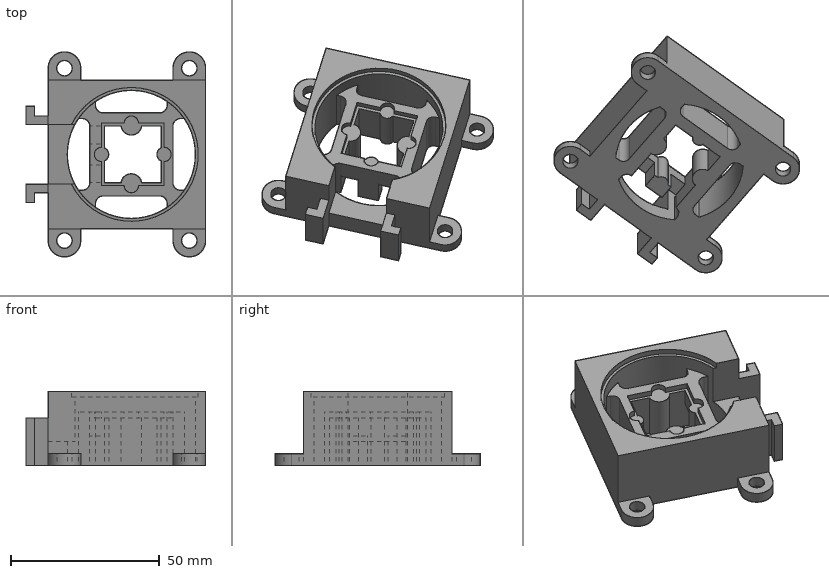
import cadquery as cq

overall_length = 69.0
overall_width = 60.5
overall_height = 25.0

body_width = 50.0
body_right = body_width / 2
body_left = 28.0

lug_width = 11.05
lug_radius = lug_width / 2
lug_height = 4.0
lug_hole_diameter = 5.1
lug_hole_y = overall_length / 2 - lug_radius

rim_diameter = 45.0
rim_depth = 2.0
bore_diameter = 43.0
floor_z = 18.0

slot_inner_offset = 14.0
slot_length = 24.0
slot_corner_radius = 2.5

opening_side = 19.0
recess_side = 21.0
recess_depth = 2.0
opening_x = 0.5
recess_z = floor_z - recess_depth

pocket_radius = 2.4
small_pillar_radius = pocket_radius
large_pillar_radius = 3.5
large_pillar_y = 10.0

window_height = 10.0
window_post_width = 7.05

notch_width = 20.0
notch_floor_z = 8.0
hook_height = 16.0
hook_reach = overall_width - body_left - body_right
hook_thickness = 3.0
hook_tip_length = 6.2


def box(x_min, x_max, y_min, y_max, z_min, z_max):
    """Box given by its limits along each axis."""
    size = (x_max - x_min, y_max - y_min, z_max - z_min)
    return cq.Workplane("XY").box(*size, centered=False).translate((x_min, y_min, z_min))


def cylinder(x, y, radius, z_min, z_max):
    """Upright cylinder between two heights."""
    return cq.Workplane("XY", origin=(x, y, z_min)).circle(radius).extrude(z_max - z_min)


def square_prism(center_x, side, z_min, z_max):
    """Square prism centred on the X axis."""
    base = cq.Workplane("XY", origin=(center_x, 0, z_min))
    return base.rect(side, side).extrude(z_max - z_min)


def make_bore_cavity():
    """Bore through the block, less the cross-shaped floor left between its four slots."""
    bore_radius = bore_diameter / 2
    slot = box(
        slot_inner_offset, slot_inner_offset + bore_diameter,
        -slot_length / 2, slot_length / 2,
        0, floor_z,
    ).edges("|Z and <X").fillet(slot_corner_radius)
    floor = square_prism(0, 2 * bore_diameter, 0, floor_z)
    for quarter in range(4):
        floor = floor.cut(slot.rotate((0, 0, 0), (0, 0, 1), 90 * quarter))
    return cylinder(0, 0, bore_radius, 0, overall_height).cut(floor)


def make_hook(side):
    """L-shaped hook on the +Y (side = 1) or -Y (side = -1) edge of the notch."""
    inner_y = notch_width / 2
    root_x = -body_left
    tip_x = root_x - hook_reach
    outline = [
        (root_x, inner_y),
        (tip_x, inner_y),
        (tip_x, inner_y + hook_tip_length),
        (tip_x + hook_thickness, inner_y + hook_tip_length),
        (tip_x + hook_thickness, inner_y + hook_thickness),
        (root_x, inner_y + hook_thickness),
    ]
    points = [(x, side * y) for x, y in outline]
    return cq.Workplane("XY").polyline(points).close().extrude(hook_height)


part = box(-body_left, body_right, -body_width / 2, body_width / 2, 0, overall_height)
part = part.cut(make_bore_cavity())
part = part.cut(cylinder(0, 0, rim_diameter / 2, overall_height - rim_depth, overall_height))
notch_end_x = -slot_inner_offset - slot_corner_radius
part = part.cut(box(-body_left, notch_end_x, -notch_width / 2, notch_width / 2,
                    notch_floor_z, overall_height))

part = part.cut(square_prism(opening_x, opening_side, 0, floor_z))
part = part.cut(square_prism(opening_x, recess_side, recess_z, floor_z))
window_span = box(-slot_inner_offset, opening_x - opening_side / 2,
                  -opening_side / 2, opening_side / 2, 0, window_height)
window_post = box(-slot_inner_offset, opening_x - opening_side / 2,
                  -window_post_width / 2, window_post_width / 2, 0, window_height)
part = part.cut(window_span.cut(window_post))

for side in (-1, 1):
    pocket_x = opening_x + side * recess_side / 2
    pocket_y = side * recess_side / 2
    part = part.union(cylinder(pocket_x, 0, small_pillar_radius, 0, recess_z))
    part = part.union(cylinder(0, side * large_pillar_y, large_pillar_radius, 0, recess_z))
    part = part.cut(cylinder(pocket_x, 0, pocket_radius, recess_z, floor_z))
    part = part.cut(cylinder(0, pocket_y, pocket_radius, recess_z, floor_z))

for lug_x in (-body_left + lug_radius, body_right - lug_radius):
    for side in (-1, 1):
        inner_y = side * body_width / 2
        outer_y = side * lug_hole_y
        part = part.union(box(lug_x - lug_radius, lug_x + lug_radius,
                              min(inner_y, outer_y), max(inner_y, outer_y), 0, lug_height))
        part = part.union(cylinder(lug_x, outer_y, lug_radius, 0, lug_height))
        part = part.cut(cylinder(lug_x, outer_y, lug_hole_diameter / 2, 0, lug_height))

for side in (-1, 1):
    part = part.union(make_hook(side))

result = part